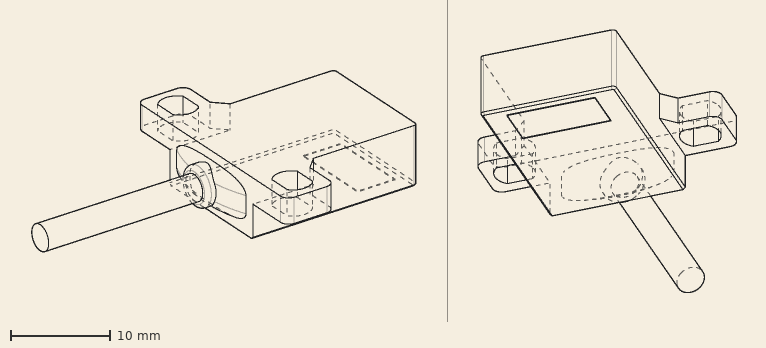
import cadquery as cq

body_width = 14.57
body_length = 20.3
body_height = 7.0
rear_corner_radius = 0.4
bottom_edge_chamfer = 0.25

flange_width = 26.2
flange_length = 6.0
flange_thickness = 3.0
flange_corner_radius = 1.0
gusset_size = 1.45

slot_spacing = 20.0
slot_center_y = 2.95
slot_length = 4.22
slot_width = 3.15
slot_flat_length = 2.7

pad_width = 9.5
pad_length = 4.6
pad_rear_margin = 1.0
pad_thickness = 0.1

cable_axis_z = -3.55
boot_width = 12.15
boot_height = 5.05
boot_depth = 1.2
boot_edge_radius = 1.5
collar_diameter = 4.6
collar_length = 2.1
collar_edge_radius = 0.5
cable_diameter = 3.0
total_length = 41.4
cable_length = total_length - body_length


def make_body():
    body = cq.Workplane("XY").box(body_width, body_length, body_height, centered=(True, False, False))
    body = body.translate((0, 0, -body_height))
    body = body.edges("|Z and >Y").fillet(rear_corner_radius)
    return body.faces("<Z").edges("not <Y").chamfer(bottom_edge_chamfer)


def make_flange():
    plate = cq.Workplane("XY").box(flange_width, flange_length, flange_thickness, centered=(True, False, False))
    plate = plate.edges("|Z").fillet(flange_corner_radius)
    half_body = body_width / 2
    half_gusset = half_body + gusset_size
    gussets = (
        cq.Workplane("XY")
        .moveTo(-half_gusset, flange_length)
        .lineTo(-half_body, flange_length + gusset_size)
        .lineTo(half_body, flange_length + gusset_size)
        .lineTo(half_gusset, flange_length)
        .close()
        .extrude(flange_thickness)
    )
    return plate.union(gussets).translate((0, 0, -flange_thickness))


def make_slot(center_x):
    half_flat = slot_flat_length / 2
    half_length = slot_length / 2
    half_width = slot_width / 2
    return (
        cq.Workplane("XY")
        .center(center_x, slot_center_y)
        .moveTo(-half_flat, -half_width)
        .lineTo(half_flat, -half_width)
        .threePointArc((half_length, 0), (half_flat, half_width))
        .lineTo(-half_flat, half_width)
        .threePointArc((-half_length, 0), (-half_flat, -half_width))
        .close()
        .extrude(-flange_thickness)
    )


def make_pad():
    pad_center_y = body_length - pad_rear_margin - pad_length / 2
    return (
        cq.Workplane("XY", origin=(0, pad_center_y, -body_height))
        .rect(pad_width, pad_length)
        .extrude(-pad_thickness)
    )


def make_boot():
    disc_radius = ((boot_width / 2) ** 2 + boot_depth**2) / (2 * boot_depth)
    disc = (
        cq.Workplane("XY", origin=(0, disc_radius - boot_depth, cable_axis_z - boot_height / 2))
        .circle(disc_radius)
        .extrude(boot_height)
        .edges()
        .fillet(boot_edge_radius)
    )
    front_space = (
        cq.Workplane("XY", origin=(0, -boot_depth / 2, cable_axis_z))
        .box(boot_width, boot_depth, boot_height)
    )
    return disc.intersect(front_space)


def make_rod(diameter, length):
    return cq.Workplane("XZ", origin=(0, 0, cable_axis_z)).circle(diameter / 2).extrude(length)


collar = make_rod(collar_diameter, collar_length).faces("<Y").edges().fillet(collar_edge_radius)
cable = make_rod(cable_diameter, cable_length)

result = make_body().union(make_flange()).union(make_pad())
for side in (-1, 1):
    result = result.cut(make_slot(side * slot_spacing / 2))
result = result.union(make_boot()).union(collar).union(cable)